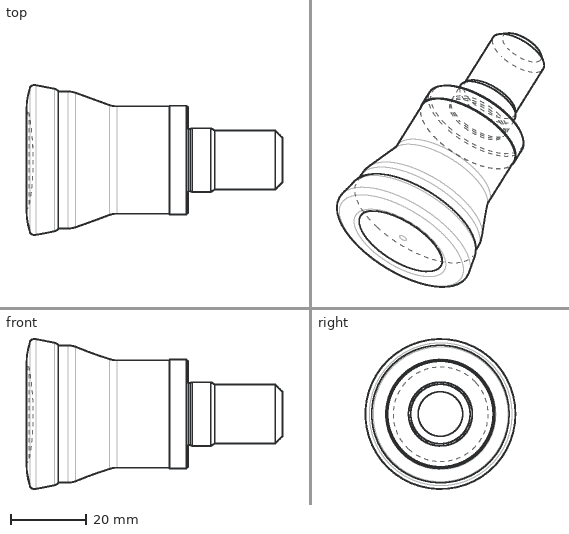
import cadquery as cq

total_length = 68.0

dish_floor_x = 1.7
dish_floor_radius = 1.0
dish_radius = 12.6
dish_edge_x = 0.6
dish_bulge_x = 1.395
lip_radius = 13.9
face_mid_x = 0.2
face_mid_radius = 16.3
face_end_x = 0.8
face_end_radius = 18.8
rim_x = 2.5
rim_radius = 19.9
head_taper_end_x = 7.4
head_taper_end_radius = 19.0
head_end_x = 8.5

neck_radius = 36.5 / 2
neck_end_x = 10.95
flare_blend_length = 2.05
flare_blend_drop = 0.35
grip_start_x = 24.0
grip_radius = 28.6 / 2
knob_end_x = 37.95

collar_radius = 29.0 / 2
collar_front_chamfer = 0.15
collar_end_x = 42.9
collar_rear_chamfer = 0.5
relief_radius = 16.6 / 2
relief_end_x = 43.45
pilot_radius = 17.0 / 2
pilot_start_x = 44.05
pilot_end_x = 48.95
stud_radius = 15.8 / 2
stud_start_x = 50.0
tip_chamfer = 2.0


def turn(profile):
    """Revolve a closed (axial, radial) profile about the X axis."""
    return profile.close().revolve(360, (0, 0, 0), (1, 0, 0))


def make_knob():
    """Dished head, cylindrical neck, flare and straight grip."""
    forward = (-1, 0)
    outward = (0, 1)
    along_taper = (head_taper_end_x - rim_x, head_taper_end_radius - rim_radius)
    dish_mid_radius = (dish_floor_radius + dish_radius) / 2
    profile = (
        cq.Workplane("XY")
        .moveTo(dish_floor_x, 0)
        .lineTo(dish_floor_x, dish_floor_radius)
        .threePointArc((dish_bulge_x, dish_mid_radius), (dish_edge_x, dish_radius))
        .spline([(0, lip_radius)], tangents=[forward, outward], includeCurrent=True)
        .threePointArc((face_mid_x, face_mid_radius), (face_end_x, face_end_radius))
        .spline([(rim_x, rim_radius)], tangents=[outward, along_taper], includeCurrent=True)
        .lineTo(head_taper_end_x, head_taper_end_radius)
        .tangentArcPoint((head_end_x, neck_radius), relative=False)
        .lineTo(neck_end_x, neck_radius)
        .tangentArcPoint((flare_blend_length, -flare_blend_drop))
        .lineTo(grip_start_x - flare_blend_length, grip_radius + flare_blend_drop)
        .tangentArcPoint((grip_start_x, grip_radius), relative=False)
        .lineTo(knob_end_x, grip_radius)
        .lineTo(knob_end_x, 0)
    )
    return turn(profile)


def make_stud():
    """Collar seated on the rear of the knob, with its pilot and chamfered stud."""
    profile = (
        cq.Workplane("XY")
        .moveTo(knob_end_x, 0)
        .lineTo(knob_end_x, collar_radius - collar_front_chamfer)
        .lineTo(knob_end_x + collar_front_chamfer, collar_radius)
        .lineTo(collar_end_x - collar_rear_chamfer, collar_radius)
        .lineTo(collar_end_x, collar_radius - collar_rear_chamfer)
        .lineTo(collar_end_x, relief_radius)
        .lineTo(relief_end_x, relief_radius)
        .lineTo(pilot_start_x, pilot_radius)
        .lineTo(pilot_end_x, pilot_radius)
        .lineTo(stud_start_x, stud_radius)
        .lineTo(total_length - tip_chamfer, stud_radius)
        .lineTo(total_length, stud_radius - tip_chamfer)
        .lineTo(total_length, 0)
    )
    return turn(profile)


knob = make_knob()
stud = make_stud()
result = cq.Compound.makeCompound([knob.val(), stud.val()])